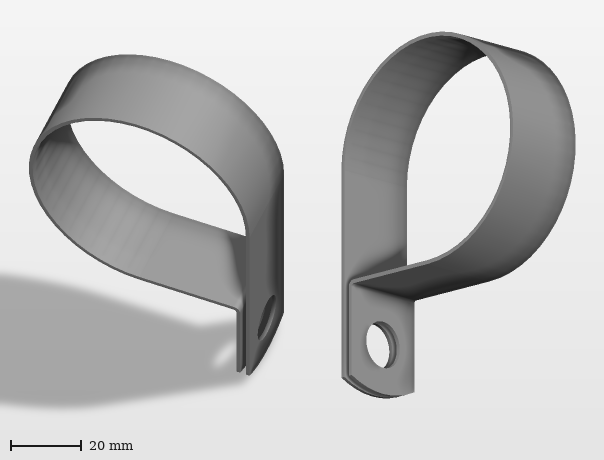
import cadquery as cq
import math

height = 97.2
strap_width = 25.4
thickness = 1.2
loop_radius = 33.7
leg_gap = 1.75
bend_radius = 1.9
end_radius = 28.2
hole_diameter = 13.5
hole_height = 14.4

inner_radius = loop_radius - thickness
leg_bottom = loop_radius - height
short_leg_right = inner_radius - leg_gap
short_leg_left = short_leg_right - thickness
bend_x = short_leg_right - bend_radius
bend_z = -inner_radius - bend_radius
inner_bend_radius = bend_radius - thickness
diagonal = math.sqrt(0.5)


def make_strap():
    """Bent strip: long leg, three-quarter loop, flat shelf and short leg."""
    profile = (
        cq.Workplane("XZ")
        .moveTo(loop_radius, leg_bottom)
        .lineTo(loop_radius, 0)
        .threePointArc((-loop_radius * diagonal, loop_radius * diagonal), (0, -loop_radius))
        .lineTo(bend_x, -loop_radius)
        .threePointArc(
            (bend_x + inner_bend_radius * diagonal, bend_z + inner_bend_radius * diagonal),
            (short_leg_left, bend_z),
        )
        .lineTo(short_leg_left, leg_bottom)
        .lineTo(short_leg_right, leg_bottom)
        .lineTo(short_leg_right, bend_z)
        .threePointArc(
            (bend_x + bend_radius * diagonal, bend_z + bend_radius * diagonal),
            (bend_x, -inner_radius),
        )
        .lineTo(0, -inner_radius)
        .threePointArc((-inner_radius * diagonal, inner_radius * diagonal), (inner_radius, 0))
        .lineTo(inner_radius, leg_bottom)
        .close()
    )
    return profile.extrude(strap_width / 2, both=True)


def make_rounded_envelope():
    """Block around the strap whose underside is the arc of the leg ends."""
    half_width = strap_width / 2
    end_rise = end_radius - math.sqrt(end_radius**2 - half_width**2)
    return (
        cq.Workplane("YZ")
        .moveTo(-half_width, loop_radius)
        .lineTo(-half_width, leg_bottom + end_rise)
        .threePointArc((0, leg_bottom), (half_width, leg_bottom + end_rise))
        .lineTo(half_width, loop_radius)
        .close()
        .extrude(loop_radius, both=True)
    )


def make_bolt_hole():
    """Cylinder along X through both legs."""
    return (
        cq.Workplane("YZ")
        .center(0, leg_bottom + hole_height)
        .circle(hole_diameter / 2)
        .extrude(loop_radius)
    )


result = make_strap().intersect(make_rounded_envelope()).cut(make_bolt_hole())